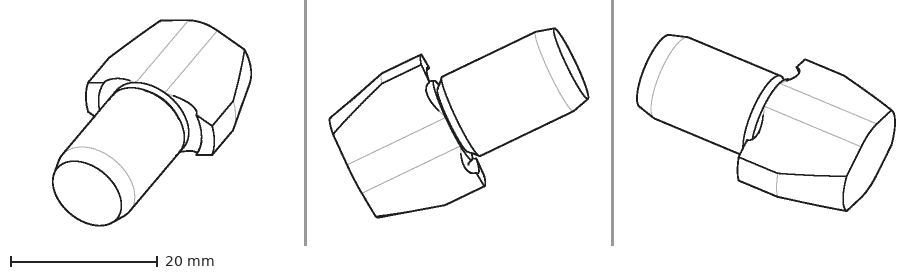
import cadquery as cq
import math

total_length = 33.0
head_length = 15.0
shank_length = total_length - head_length
shank_radius = 12.0 / 2
head_radius = 19.93 / 2

land_length = 6.0
lead_in_angle = math.radians(15)
flat_angle = math.radians(22)
tip_length = 2.5
neck_depth = 1.25
groove_radius = 1.0


def revolve_about_pin_axis(profile):
    return profile.close().revolve(360, (0, 0, 0), (0, 1, 0))


def make_shank():
    tip_radius = shank_radius - tip_length * math.tan(lead_in_angle)
    profile = (
        cq.Workplane("XY")
        .moveTo(0, 0)
        .lineTo(shank_radius - neck_depth, 0)
        .lineTo(shank_radius, -neck_depth)
        .lineTo(shank_radius, tip_length - shank_length)
        .lineTo(tip_radius, -shank_length)
        .lineTo(0, -shank_length)
    )
    return revolve_about_pin_axis(profile)


def make_diamond_prism():
    tangent_x = shank_radius * math.sin(flat_angle)
    tangent_z = shank_radius * math.cos(flat_angle)
    corner_x = shank_radius / math.sin(flat_angle)
    return (
        cq.Workplane("XZ")
        .moveTo(-tangent_x, tangent_z)
        .threePointArc((0, shank_radius), (tangent_x, tangent_z))
        .lineTo(corner_x, 0)
        .lineTo(tangent_x, -tangent_z)
        .threePointArc((0, -shank_radius), (-tangent_x, -tangent_z))
        .lineTo(-corner_x, 0)
        .close()
        .extrude(-head_length)
    )


def make_head():
    end_radius = head_radius - (head_length - land_length) * math.tan(lead_in_angle)
    turned_profile = (
        cq.Workplane("XY")
        .moveTo(0, 0)
        .lineTo(head_radius, 0)
        .lineTo(head_radius, land_length)
        .lineTo(end_radius, head_length)
        .lineTo(0, head_length)
    )
    return revolve_about_pin_axis(turned_profile).intersect(make_diamond_prism())


def make_seat_groove():
    groove_center = shank_radius + groove_radius
    profile = (
        cq.Workplane("XY")
        .moveTo(shank_radius, 0)
        .threePointArc((groove_center, groove_radius), (groove_center + groove_radius, 0))
    )
    return revolve_about_pin_axis(profile)


result = make_head().cut(make_seat_groove()).union(make_shank())